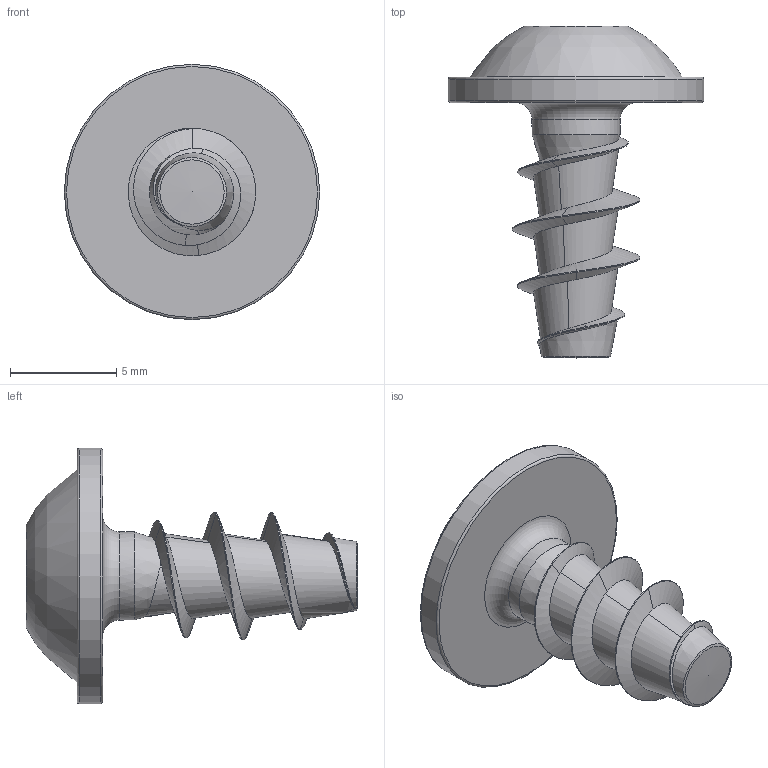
import cadquery as cq
import math


flange_radius = 6.0
flange_thickness = 1.2
flange_edge_fillet = 0.1
dome_base_radius = 5.0
dome_top_radius = 2.4
dome_height = 2.4
dome_sphere_radius = 5.7
head_overlap = flange_thickness / 2

neck_radius = 2.07
neck_length = 1.5
neck_fillet = 0.8
runout_length = 1.2
runout_radius = 1.70

shank_length = 12.0
pitch = 2.7
thread_radius = 3.0
crest_z_at_plus_x = 1.88
crest_land = 0.05
tip_side_slope = 0.34
head_side_slope = 0.30
root_large_radius = 2.04
root_small_radius = 1.64
tooth_base_radius = 1.4
lead_in_radius = 2.36
lead_in_end = 4.3
lead_out_start = 7.9
lead_out_end = 11.85
lead_out_radius = 1.63

tip_radius = 1.62
tip_taper_length = 2.5
tip_bevel_radius = 1.51
tip_bevel_height = 0.03
tip_cone_height = 0.04

span_turns = 0.5
steps_per_span = 12
groove_outer_radius = 2.3
turn_gap = 0.05


def revolve_profile(profile):
    """Turn a closed (radius, z) outline about the z axis."""
    return profile.close().revolve(360, (0, 0, 0), (0, 1, 0))


def helix_point(radius, crest_z, axial_offset):
    """Point beside the crest line, which climbs one pitch per right-handed turn."""
    angle = 2 * math.pi * (crest_z - crest_z_at_plus_x) / pitch
    return cq.Vector(radius * math.cos(angle), radius * math.sin(angle), crest_z + axial_offset)


def helical_solid(section, start_z, end_z):
    """Solid whose (radius, axial offset) section follows the crest line and may change with z."""

    def ring(z):
        return [helix_point(radius, z, offset) for radius, offset in section(z)]

    def cap(z):
        return cq.Face.makeFromWires(cq.Wire.makePolygon(ring(z), close=True))

    span_count = math.ceil((end_z - start_z) / (span_turns * pitch))
    span_length = (end_z - start_z) / span_count
    faces = [cap(start_z), cap(end_z)]
    for span in range(span_count):
        span_z = start_z + span * span_length
        rings = [ring(span_z + span_length * i / steps_per_span) for i in range(steps_per_span + 1)]
        edges = [cq.Edge.makeSpline(list(corner_line)) for corner_line in zip(*rings)]
        faces += [cq.Face.makeRuledSurface(edges[i - 1], edges[i]) for i in range(len(edges))]
    solid = cq.Solid.makeSolid(cq.Shell.makeShell(faces))
    return cq.Workplane(solid.fix())


def crest_radius(z):
    """Thread radius along the shank: rising at the neck, constant, then falling at the tip."""
    lead_in_slope = (thread_radius - lead_in_radius) / (lead_in_end - neck_length)
    lead_out_slope = (thread_radius - lead_out_radius) / (lead_out_end - lead_out_start)
    lead_in = thread_radius - lead_in_slope * (lead_in_end - z)
    lead_out = thread_radius - lead_out_slope * (z - lead_out_start)
    return min(lead_in, thread_radius, lead_out)


def tooth_section(z):
    """Thread tooth with flanks of constant slope, reaching down into the core."""
    crest = crest_radius(z)
    height = crest - tooth_base_radius
    half_land = crest_land / 2
    return [
        (tooth_base_radius, -half_land - head_side_slope * height),
        (crest, -half_land),
        (crest, half_land),
        (tooth_base_radius, half_land + tip_side_slope * height),
    ]


def groove_section(_):
    """Thread root tapering over one pitch, the same all along; its side walls lie inside the tooth."""
    start = turn_gap / 2
    end = pitch - turn_gap / 2
    return [
        (groove_outer_radius, start),
        (root_large_radius, start),
        (root_small_radius, end),
        (groove_outer_radius, end),
    ]


def make_head():
    flange = (
        cq.Workplane("XY")
        .circle(flange_radius)
        .extrude(-flange_thickness)
        .edges()
        .fillet(flange_edge_fillet)
    )
    dome = revolve_profile(
        cq.Workplane("XZ")
        .moveTo(0, head_overlap - flange_thickness)
        .lineTo(dome_base_radius, head_overlap - flange_thickness)
        .lineTo(dome_base_radius, -flange_thickness)
        .radiusArc((dome_top_radius, -flange_thickness - dome_height), dome_sphere_radius)
        .lineTo(0, -flange_thickness - dome_height)
    )
    return flange.union(dome)


def make_neck():
    """Cylinder with a fillet under the flange and a short runout cone toward the thread."""
    return revolve_profile(
        cq.Workplane("XZ")
        .moveTo(0, -head_overlap)
        .lineTo(neck_radius + neck_fillet, -head_overlap)
        .lineTo(neck_radius + neck_fillet, 0)
        .radiusArc((neck_radius, neck_fillet), neck_fillet)
        .lineTo(neck_radius, neck_length)
        .lineTo(runout_radius, neck_length + runout_length)
        .lineTo(0, neck_length + runout_length)
    )


def make_core():
    """Shank core with a tapered tip and the helical thread root cut into it."""
    rim_z = shank_length - tip_cone_height - tip_bevel_height
    blank = revolve_profile(
        cq.Workplane("XZ")
        .moveTo(0, neck_length)
        .lineTo(neck_radius, neck_length)
        .lineTo(neck_radius, shank_length - tip_taper_length)
        .lineTo(tip_radius, rim_z)
        .lineTo(tip_bevel_radius, rim_z + tip_bevel_height)
        .lineTo(0, shank_length)
    )
    groove = helical_solid(groove_section, neck_length - 2 * pitch, shank_length + pitch / 2)
    return blank.cut(groove)


def make_tooth():
    """Thread tooth, cut off square where the neck begins."""
    tooth = helical_solid(tooth_section, neck_length - pitch / 2, lead_out_end)
    neck_zone = cq.Workplane("XY").circle(flange_radius).extrude(neck_length)
    return tooth.cut(neck_zone)


screw = make_head().union(make_neck()).union(make_core()).union(make_tooth())
result = screw.rotate((0, 0, 0), (1, 0, 0), 90)